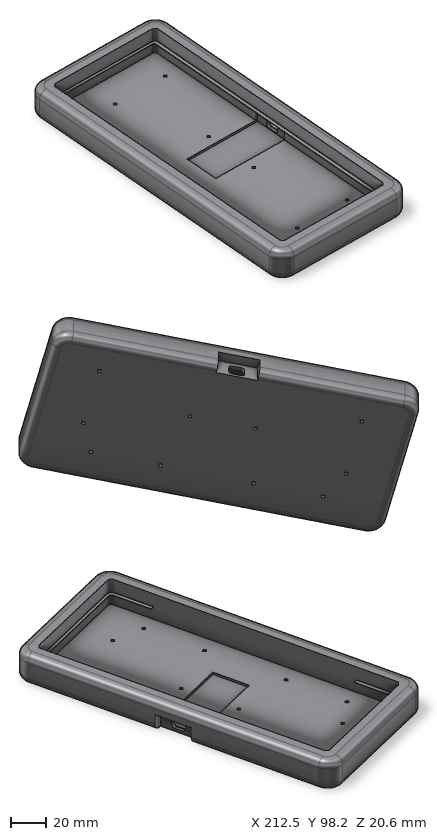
import cadquery as cq
LENGTH = 212.5
WIDTH = 98.2
HEIGHT = 20.6
CORNER_RADIUS = 10.0
EDGE_ROUND = CORNER_RADIUS / 2

WALL_THICKNESS = CORNER_RADIUS
CAVITY_RADIUS = 2.5
FLOOR_THICKNESS = 3.0

RIM_TOP_Z = 11.7
RIM_THICKNESS = 0.2
RIM_SIDE_WIDTH = 2.0
RIM_END_WIDTH = 2.5
RIM_INNER_RADIUS = 1.3

HOLE_SPAN = 152.4
KEY_PITCH = HOLE_SPAN / 8
SMALL_HOLE_PITCHES = ((4, 1.5), (4, -0.5), (1, 0.5))
FRONT_ROW_PITCHES = -1.5
SMALL_HOLE_DIAMETER = 2.0
LARGE_HOLE_DIAMETER = 2.1
FRONT_HOLE_X = (27.0, 67.4)

POCKET_LENGTH = 24.0
POCKET_FRONT_Y = -13.2
POCKET_DEPTH = 1.5
NOTCH_DEPTH = 1.5

WINDOW_LENGTH = 9.1
WINDOW_BOTTOM_Z = 2.0
WINDOW_HEIGHT = 7.0
WINDOW_CORNER_DIAMETER = 4.0
WINDOW_WALL = 2.5

cavity_length = LENGTH - 2 * WALL_THICKNESS
cavity_width = WIDTH - 2 * WALL_THICKNESS
rim_bottom_z = RIM_TOP_Z - RIM_THICKNESS
rim_gap_length = 2 * max(FRONT_HOLE_X)


def rounded_block(length, width, corner_radius, bottom, top):
    """Block centred on X and Y with rounded vertical edges, from bottom to top."""
    return (
        cq.Workplane("XY", origin=(0, 0, bottom))
        .rect(length, width)
        .extrude(top - bottom)
        .edges("|Z")
        .fillet(corner_radius)
    )


def square_block(length, front_y, back_y, bottom, top):
    """Square-cornered block centred on X, between two Y positions."""
    return (
        cq.Workplane("XY", origin=(0, (front_y + back_y) / 2, bottom))
        .rect(length, back_y - front_y)
        .extrude(top - bottom)
    )


def drills(points, diameter):
    """Cylinders that pierce the floor at the given X, Y points."""
    return cq.Workplane("XY").pushPoints(points).circle(diameter / 2).extrude(FLOOR_THICKNESS)


def make_shell():
    """Open-topped box with rounded top and bottom outer edges."""
    block = rounded_block(LENGTH, WIDTH, CORNER_RADIUS, 0, HEIGHT)
    block = block.faces("<Z or >Z").edges().fillet(EDGE_ROUND)
    return block.cut(rounded_block(cavity_length, cavity_width, CAVITY_RADIUS, FLOOR_THICKNESS, HEIGHT))


def cut_floor_holes(body):
    """Mounting holes, mirrored about the middle of the housing."""
    small_points = []
    large_points = []
    for side in (-1, 1):
        small_points += [(side * x * KEY_PITCH, y * KEY_PITCH) for x, y in SMALL_HOLE_PITCHES]
        large_points += [(side * x, FRONT_ROW_PITCHES * KEY_PITCH) for x in FRONT_HOLE_X]
    body = body.cut(drills(small_points, SMALL_HOLE_DIAMETER))
    return body.cut(drills(large_points, LARGE_HOLE_DIAMETER))


def cut_connector_bay(body):
    """Floor pocket with its wall notch, and the window that joins it to the plug recess."""
    notch_back_y = cavity_width / 2 + NOTCH_DEPTH
    pocket_z = FLOOR_THICKNESS - POCKET_DEPTH
    pocket = square_block(POCKET_LENGTH, POCKET_FRONT_Y, notch_back_y, pocket_z, rim_bottom_z)
    window = (
        cq.Workplane("XZ", origin=(0, 0, WINDOW_BOTTOM_Z + WINDOW_HEIGHT / 2))
        .rect(WINDOW_LENGTH, WINDOW_HEIGHT)
        .extrude(-WIDTH / 2)
        .edges("|Y")
        .fillet(WINDOW_CORNER_DIAMETER / 2)
    )
    recess_front_y = notch_back_y + WINDOW_WALL
    recess = square_block(POCKET_LENGTH, recess_front_y, WIDTH / 2, 0, rim_bottom_z)
    return body.cut(pocket).cut(window).cut(recess)


def make_housing():
    """Housing with every hole and recess."""
    return cut_connector_bay(cut_floor_holes(make_shell()))


def make_rim():
    """Flat C-shaped strip that fits against the cavity wall."""
    rim = rounded_block(cavity_length, cavity_width, CAVITY_RADIUS, rim_bottom_z, RIM_TOP_Z)
    inner_length = cavity_length - 2 * RIM_SIDE_WIDTH
    inner_width = cavity_width - 2 * RIM_END_WIDTH
    rim = rim.cut(rounded_block(inner_length, inner_width, RIM_INNER_RADIUS, rim_bottom_z, RIM_TOP_Z))
    return rim.cut(square_block(rim_gap_length, -cavity_width / 2, 0, rim_bottom_z, RIM_TOP_Z))


housing = make_housing()
rim = make_rim()

result = cq.Compound.makeCompound([housing.val(), rim.val()])